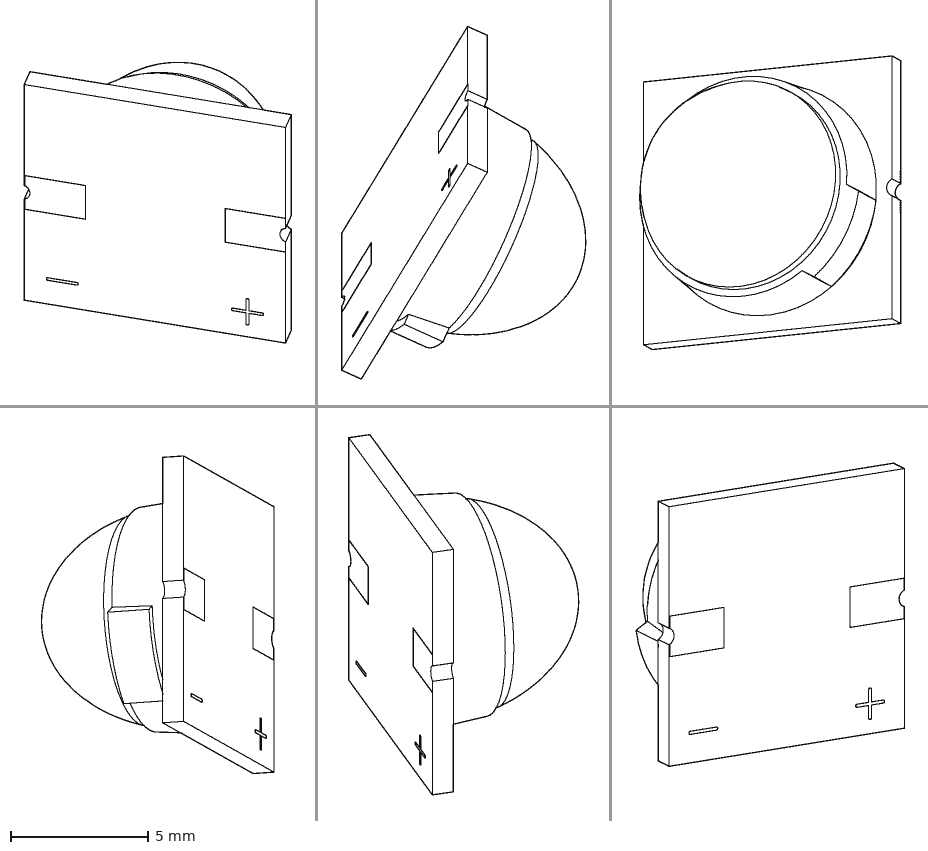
import cadquery as cq
import math

plate_side = 9.88
plate_thickness = 0.81
notch_radius = 0.34
notch_depth = 0.22

recess_depth = 0.01
pad_length = 2.28
pad_width = 1.54
left_pad_inset = 0.03
mark_length = 1.21
mark_width = 0.12
mark_x = 3.5
mark_z = -3.79

base_height = 2.25
base_bottom_radius = 4.32
base_top_radius = 4.12
lens_radius = 3.85
band_height = 0.415
dome_height = 3.59
dome_semi_axis = 5.68
dome_steps = 12

key_radius = 4.62
key_width = 3.54
key_height = 1.6
key_angle = 30.0

base_y = plate_thickness
band_y = base_y + base_height
dome_y = band_y + band_height


def upright_box(length, depth, height, x, y, z):
    """Box centred in X and Z that starts at y and grows towards +Y."""
    return cq.Workplane("XY").box(length, depth, height).translate((x, y + depth / 2, z))


def y_cylinder(radius, length, x, y):
    """Cylinder along Y that starts at y and grows towards +Y."""
    return cq.Workplane("XZ", origin=(x, y, 0)).circle(radius).extrude(-length)


def make_plate():
    plate = upright_box(plate_side, plate_thickness, plate_side, 0, 0, 0)
    half = plate_side / 2
    left_pad_x = -half + left_pad_inset + pad_length / 2
    right_pad_x = half - pad_length / 2
    for x in (left_pad_x, right_pad_x):
        plate = plate.cut(upright_box(pad_length, recess_depth, pad_width, x, 0, 0))
    notch_x = half + notch_radius - notch_depth
    for x in (-notch_x, notch_x):
        plate = plate.cut(y_cylinder(notch_radius, plate_thickness, x, 0))
    return plate


def make_polarity_groove(x, angle):
    """Cutter for a thin groove with round ends; angle 0 lies along X."""
    groove = cq.Workplane("XZ", origin=(x, 0, mark_z)).slot2D(mark_length, mark_width, angle)
    return groove.extrude(-recess_depth)


def make_lens_and_base():
    cap_offset = dome_semi_axis - dome_height
    equator_radius = lens_radius / math.sqrt(1 - (cap_offset / dome_semi_axis) ** 2)

    def dome_point(angle):
        return (
            equator_radius * math.cos(angle),
            dome_y - cap_offset + dome_semi_axis * math.sin(angle),
        )

    rim_angle = math.asin(cap_offset / dome_semi_axis)

    def dome_curve(t):
        return dome_point(rim_angle + t * (math.pi / 2 - rim_angle))

    return (
        cq.Workplane("XY")
        .moveTo(0, base_y)
        .lineTo(base_bottom_radius, base_y)
        .lineTo(base_top_radius, band_y)
        .lineTo(lens_radius, band_y)
        .lineTo(lens_radius, dome_y)
        .spline([dome_curve(i / dome_steps) for i in range(1, dome_steps + 1)], includeCurrent=True)
        .close()
        .revolve(360, (0, 0, 0), (0, 1, 0))
    )


def make_key():
    """Straight-sided key with a round outer face, flush with the top of the base."""
    key_y = band_y - key_height
    bar = upright_box(key_radius, key_height, key_width, -key_radius / 2, key_y, 0)
    bar = bar.rotate((0, 0, 0), (0, 1, 0), -key_angle)
    return bar.intersect(y_cylinder(key_radius, key_height, 0, key_y))


result = make_plate().union(make_lens_and_base()).union(make_key())
for x, angle in ((-mark_x, 0), (mark_x, 0), (mark_x, 90)):
    result = result.cut(make_polarity_groove(x, angle))